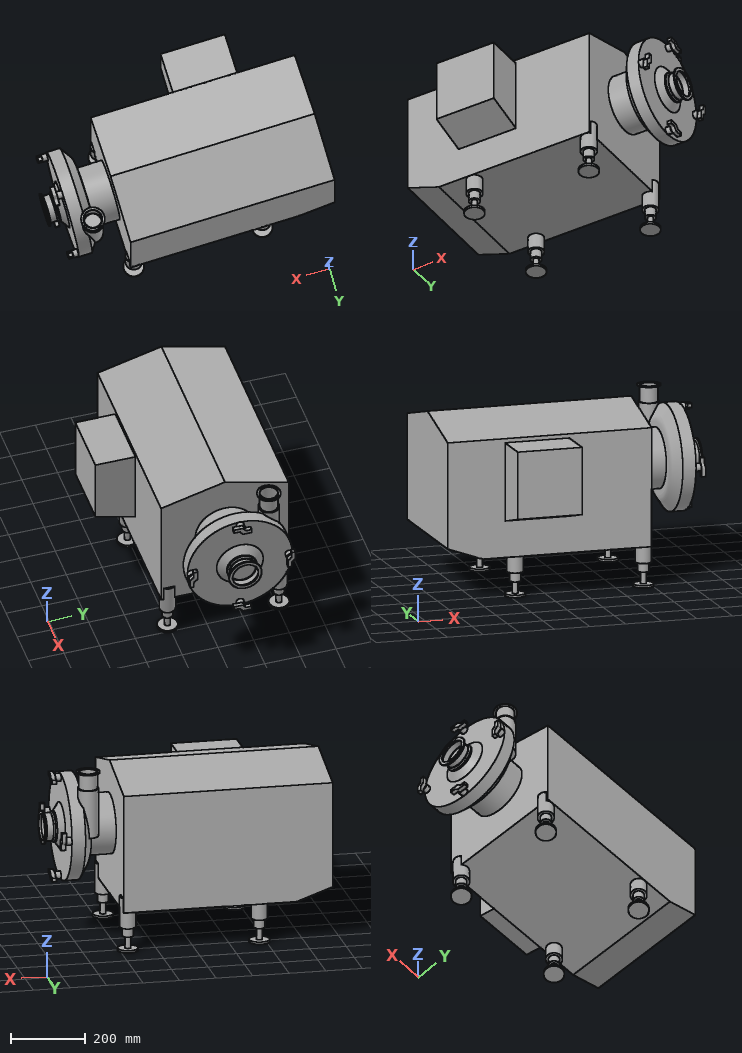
import cadquery as cq


housing_length = 572.0
housing_width = 358.0
housing_bottom = 111.5
eave_height = 439.0
ridge_height = 486.0
toe_length = 98.5
toe_height = 146.0

box_start = 161.0
box_length = 180.5
box_depth = 112.0
box_top = 427.5
box_bottom = 212.0
box_front_bottom = 242.5

leg_stages = [(56.0, 7.0), (16.0, 40.0), (30.0, 66.0), (45.0, 151.0)]
leg_x_positions = [196.0, 556.0]
leg_y_offset = 156.0

shaft_height = 310.0
neck_diameter = 166.0
casing_back = 644.0
casing_back_diameter = 219.0
casing_rim = 670.0
casing_front = 707.0
casing_diameter = 294.0
casing_blend_radius = 30.0

cone_diameter = 130.0
collar_diameter = 84.0
collar_start = 724.0
collar_end = 728.5
inlet_diameter = 76.5
inlet_bore = 72.0
inlet_start = 733.0
inlet_flange_diameter = 91.0
inlet_flange_thickness = 4.0
inlet_flange_taper = 3.0
overall_length = 758.0

outlet_x = 653.0
outlet_y = 98.0
sleeve_diameter = 56.0
sleeve_top = 443.0
outlet_diameter = 51.0
outlet_bore = 48.0
outlet_flange_diameter = 64.0
outlet_flange_thickness = 2.0
overall_height = 490.0

knob_count = 4
knob_circle_radius = 137.0
stud_diameter = 21.0
nut_start = 722.0
nut_end = 734.5
wing_reach = 25.0
wing_width = 10.5
wing_root = 9.0
crank_blend_radius = 5.0


def make_housing():
    half_width = housing_width / 2
    gable = [
        (-half_width, housing_bottom),
        (half_width, housing_bottom),
        (half_width, eave_height),
        (0, ridge_height),
        (-half_width, eave_height),
    ]
    body = cq.Workplane("YZ").polyline(gable).close().extrude(housing_length)
    toe = [(0, housing_bottom), (toe_length, housing_bottom), (0, toe_height)]
    toe_cut = cq.Workplane("XZ").polyline(toe).close().extrude(half_width, both=True)
    return body.cut(toe_cut)


def make_control_box():
    front = -housing_width / 2 - box_depth
    profile = [
        (0, box_bottom),
        (-housing_width / 2, box_bottom),
        (front, box_front_bottom),
        (front, box_top),
        (0, box_top),
    ]
    plane = cq.Workplane("YZ", origin=(box_start, 0, 0))
    return plane.polyline(profile).close().extrude(box_length)


def make_leg(x, y):
    leg = cq.Workplane("XY")
    bottom = 0
    for diameter, top in leg_stages:
        stage = cq.Workplane("XY", origin=(x, y, bottom)).circle(diameter / 2).extrude(top - bottom)
        leg = leg.union(stage)
        bottom = top
    return leg


def turn_about_shaft(profile):
    """Revolve a closed (x, radius) outline about the shaft axis."""
    plane = cq.Workplane("XZ", origin=(0, 0, shaft_height))
    return plane.polyline(profile).close().revolve(360, (0, 0, 0), (1, 0, 0))


def make_casing():
    volute = turn_about_shaft([
        (casing_back, 0),
        (casing_back, casing_back_diameter / 2),
        (casing_rim, casing_diameter / 2),
        (casing_front, casing_diameter / 2),
        (casing_front, 0),
    ])
    volute = volute.faces("<X").edges().fillet(casing_blend_radius)
    neck = (
        cq.Workplane("YZ", origin=(housing_length, 0, shaft_height))
        .circle(neck_diameter / 2)
        .extrude(casing_back - housing_length)
    )
    return volute.union(neck)


def make_inlet():
    flange_start = overall_length - inlet_flange_thickness
    return turn_about_shaft([
        (casing_front, 0),
        (casing_front, cone_diameter / 2),
        (collar_start, collar_diameter / 2),
        (collar_end, collar_diameter / 2),
        (inlet_start, inlet_diameter / 2),
        (flange_start - inlet_flange_taper, inlet_diameter / 2),
        (flange_start, inlet_flange_diameter / 2),
        (overall_length, inlet_flange_diameter / 2),
        (overall_length, inlet_bore / 2),
        (inlet_start, inlet_bore / 2),
        (inlet_start, 0),
    ])


def outlet_cylinder(diameter, bottom, top):
    plane = cq.Workplane("XY", origin=(outlet_x, outlet_y, bottom))
    return plane.circle(diameter / 2).extrude(top - bottom)


def make_outlet():
    flange_bottom = overall_height - outlet_flange_thickness
    sleeve = outlet_cylinder(sleeve_diameter, shaft_height, sleeve_top)
    tube = outlet_cylinder(outlet_diameter, sleeve_top, overall_height)
    flange = outlet_cylinder(outlet_flange_diameter, flange_bottom, overall_height)
    bore = outlet_cylinder(outlet_bore, sleeve_top, overall_height)
    return sleeve.union(tube).union(flange).cut(bore)


def make_knob():
    """Top knob: a stud carrying a cranked two-wing nut."""
    center = (casing_front, 0, shaft_height + knob_circle_radius)
    stud = cq.Workplane("YZ", origin=center).circle(stud_diameter / 2).extrude(nut_start - casing_front)
    half_outline = [
        (wing_reach, -wing_width),
        (wing_reach, 0),
        (wing_root, 0),
        (0, wing_width),
    ]
    outline = half_outline + [(-y, -z) for y, z in half_outline]
    nut_plane = cq.Workplane("YZ", origin=(nut_start, 0, center[2]))
    nut = nut_plane.polyline(outline).close().extrude(nut_end - nut_start)
    crank_zone = cq.selectors.BoxSelector(
        (nut_start, -wing_root - wing_width / 2, center[2] - stud_diameter),
        (nut_end, wing_root + wing_width / 2, center[2] + stud_diameter),
    )
    nut = nut.edges("|X").edges(crank_zone).fillet(crank_blend_radius)
    return stud.union(nut)


result = make_housing().union(make_control_box())
for leg_x in leg_x_positions:
    for leg_y in (-leg_y_offset, leg_y_offset):
        result = result.union(make_leg(leg_x, leg_y))
result = result.union(make_outlet()).union(make_casing()).union(make_inlet())
for index in range(knob_count):
    angle = index * 360 / knob_count
    knob = make_knob().rotate((0, 0, shaft_height), (1, 0, shaft_height), angle)
    result = result.union(knob)